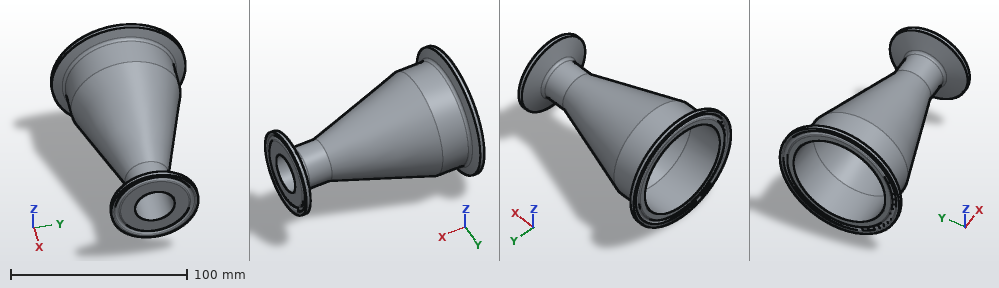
import cadquery as cq
import math

LENGTH = 107.0
FERRULE_LENGTH = 23.0

LARGE_FLANGE_DIA = 77.5
LARGE_TUBE_DIA = 63.5
LARGE_BORE_DIA = 59.5

SMALL_FLANGE_DIA = 50.5
SMALL_TUBE_DIA = 25.4
SMALL_BORE_DIA = 23.0

RIM_THICKNESS = 2.7
BACK_ANGLE = 20.0
ROOT_RADIUS = 2.0

GROOVE_INSET = 3.4
GROOVE_WIDTH = 2.7
GROOVE_DEPTH = 1.3
GROOVE_LIP_RADIUS = 0.9


def revolve_about_x(profile):
    return profile.close().revolve(360, (0, 0, 0), (1, 0, 0))


def circles_at(x, diameter):
    """Select circular edges of a given diameter centred at a given X."""
    tolerance = 0.01
    reach = diameter / 2 + tolerance
    inner = diameter / 2 - tolerance
    outer_box = cq.selectors.BoxSelector(
        (x - tolerance, -reach, -reach), (x + tolerance, reach, reach), boundingbox=True
    )
    inner_box = cq.selectors.BoxSelector(
        (x - tolerance, -inner, -inner), (x + tolerance, inner, inner), boundingbox=True
    )
    return outer_box - inner_box


def ferrule(flange_dia, tube_dia, bore_dia):
    """Flanged tube with its sealing face at X = 0 and its tube toward +X."""
    flange_r = flange_dia / 2
    tube_r = tube_dia / 2
    bore_r = bore_dia / 2
    back_length = (flange_r - tube_r) * math.tan(math.radians(BACK_ANGLE))
    root_x = RIM_THICKNESS + back_length

    body = revolve_about_x(
        cq.Workplane("XY")
        .moveTo(0, bore_r)
        .lineTo(0, flange_r)
        .lineTo(RIM_THICKNESS, flange_r)
        .lineTo(root_x, tube_r)
        .lineTo(FERRULE_LENGTH, tube_r)
        .lineTo(FERRULE_LENGTH, bore_r)
    )
    body = body.edges(circles_at(root_x, tube_dia)).fillet(ROOT_RADIUS)

    groove_r = flange_r - GROOVE_INSET
    lip_radii = (groove_r - GROOVE_WIDTH / 2, groove_r + GROOVE_WIDTH / 2)
    groove = revolve_about_x(
        cq.Workplane("XY")
        .moveTo(0, lip_radii[0])
        .threePointArc((GROOVE_DEPTH, groove_r), (0, lip_radii[1]))
    )
    body = body.cut(groove)
    for lip_r in lip_radii:
        body = body.edges(circles_at(0, 2 * lip_r)).fillet(GROOVE_LIP_RADIUS)
    return body


def cone_section():
    """Tapered wall joining the two ferrules."""
    start = FERRULE_LENGTH
    end = LENGTH - FERRULE_LENGTH
    return revolve_about_x(
        cq.Workplane("XY")
        .moveTo(start, LARGE_BORE_DIA / 2)
        .lineTo(start, LARGE_TUBE_DIA / 2)
        .lineTo(end, SMALL_TUBE_DIA / 2)
        .lineTo(end, SMALL_BORE_DIA / 2)
    )


large_ferrule = ferrule(LARGE_FLANGE_DIA, LARGE_TUBE_DIA, LARGE_BORE_DIA)
small_ferrule = (
    ferrule(SMALL_FLANGE_DIA, SMALL_TUBE_DIA, SMALL_BORE_DIA)
    .mirror("YZ")
    .translate((LENGTH, 0, 0))
)
result = large_ferrule.union(cone_section()).union(small_ferrule)